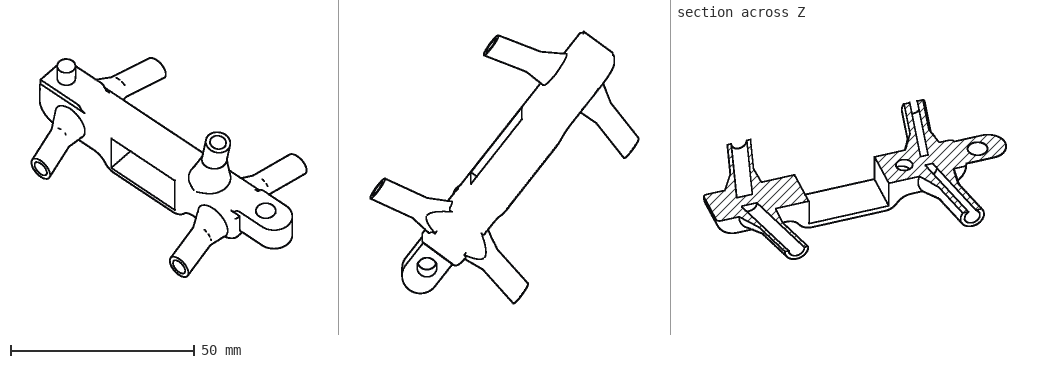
import cadquery as cq
import math

beam_length = 72.2
beam_width = 12.0
beam_top = 16.0
shoulder_z = 4.0
end_corner_radius = 6.0
belly_center_x = 38.0
belly_bottom_length = 21.0
belly_top_length = 36.0
edge_radius = 1.0

window_length = 23.0
window_bottom = 2.1
window_top = 14.4

pad_width = beam_width - 2 * edge_radius
pad_top = 17.8
pad_flat_end_x = 13.1
pad_slope_length = 3.0
tab_bottom = shoulder_z + end_corner_radius
tab_slope_length = 3.2
tab_tip_x = 85.2
tab_hole_x = 77.2
tab_hole_diameter = 5.4
pin_x = 5.0
pin_diameter = 5.0
pin_top = 23.0

tube_diameter = 6.8
bore_diameter = 4.4

side_root_diameter = 11.3
side_root_y = beam_width / 2 - edge_radius
side_neck_y = 12.0
side_bore_end_y = 2.0

left_root_x = 11.35
left_neck_x = 13.4
left_tip_x = 16.7
left_tip_y = 24.0
left_axis_z = tab_bottom

right_root_x = 63.1
right_neck_x = 64.6
right_tip_x = 67.2
right_tip_y = 24.48
right_axis_z = 8.1

upper_root_diameter = 11.9
upper_root_x = 56.7
upper_root_z = 15.2
upper_neck_x = 58.55
upper_neck_z = 25.0
upper_tip_corner_z = 33.71
upper_tilt = math.radians(9.5)
upper_bore_end_z = 8.0


def arc_midpoint(start, end):
    """Midpoint of the arc from start that arrives level (along X) at end."""
    dx = end[0] - start[0]
    dz = end[1] - start[1]
    radius = (dx**2 + dz**2) / (2 * abs(dz))
    center_z = end[1] - math.copysign(radius, dz)
    half_angle = math.asin(abs(dx) / radius) / 2
    return (
        end[0] - math.copysign(radius * math.sin(half_angle), dx),
        center_z + math.copysign(radius * math.cos(half_angle), dz),
    )


def s_curve(profile, start, end):
    """Extend a profile that arrives level at start by two equal arcs that end level at end."""
    dx = end[0] - start[0]
    dz = end[1] - start[1]
    middle = (start[0] + dx / 2, start[1] + dz / 2)
    return profile.tangentArcPoint(middle, relative=False).threePointArc(
        arc_midpoint(middle, end), end
    )


def extrude_across(profile, width):
    """Extrude an XZ profile symmetrically about y = 0."""
    return profile.extrude(width / 2, both=True)


def make_beam():
    belly_left = belly_center_x - belly_bottom_length / 2
    belly_right = belly_center_x + belly_bottom_length / 2
    shoulder_left = belly_center_x - belly_top_length / 2
    shoulder_right = belly_center_x + belly_top_length / 2
    corner_z = shoulder_z + end_corner_radius

    profile = cq.Workplane("XZ").moveTo(0, beam_top).lineTo(0, corner_z)
    profile = profile.tangentArcPoint((end_corner_radius, shoulder_z), relative=False)
    profile = profile.lineTo(shoulder_left, shoulder_z)
    profile = s_curve(profile, (shoulder_left, shoulder_z), (belly_left, 0))
    profile = profile.lineTo(belly_right, 0)
    profile = s_curve(profile, (belly_right, 0), (shoulder_right, shoulder_z))
    profile = profile.lineTo(beam_length - end_corner_radius, shoulder_z)
    profile = profile.tangentArcPoint((beam_length, corner_z), relative=False)
    profile = profile.lineTo(beam_length, beam_top).close()
    beam = extrude_across(profile, beam_width)
    return beam.faces("<Y or >Y").edges().fillet(edge_radius)


def make_window():
    window_height = window_top - window_bottom
    window_center = (belly_center_x, 0, window_bottom + window_height / 2)
    return cq.Workplane("XY").box(window_length, beam_width, window_height).translate(window_center)


def make_pad():
    slope_start = (pad_flat_end_x, pad_top)
    slope_end = (pad_flat_end_x + pad_slope_length, beam_top)
    profile = cq.Workplane("XZ").moveTo(0, tab_bottom).lineTo(0, pad_top).lineTo(*slope_start)
    profile = s_curve(profile, slope_start, slope_end)
    profile = profile.lineTo(slope_end[0], tab_bottom).close()
    return extrude_across(profile, pad_width)


def make_pin():
    pin = cq.Workplane("XY").workplane(offset=beam_top).center(pin_x, 0)
    return pin.circle(pin_diameter / 2).extrude(pin_top - beam_top)


def make_tab():
    slope_start = (beam_length - tab_slope_length, beam_top)
    slope_end = (beam_length, pad_top)
    inner_x = slope_start[0] - edge_radius
    profile = cq.Workplane("XZ").moveTo(inner_x, tab_bottom).lineTo(inner_x, beam_top)
    profile = profile.lineTo(*slope_start)
    profile = s_curve(profile, slope_start, slope_end)
    profile = profile.lineTo(tab_tip_x, pad_top).lineTo(tab_tip_x, tab_bottom).close()
    tab = extrude_across(profile, pad_width)

    tip_center_x = tab_tip_x - pad_width / 2
    rounded_plan = (
        cq.Workplane("XY").moveTo(inner_x, -pad_width / 2).lineTo(tip_center_x, -pad_width / 2)
        .threePointArc((tab_tip_x, 0), (tip_center_x, pad_width / 2))
        .lineTo(inner_x, pad_width / 2).close().extrude(pad_top)
    )
    hole = cq.Workplane("XY").center(tab_hole_x, 0).circle(tab_hole_diameter / 2).extrude(pad_top)
    return tab.intersect(rounded_plan).cut(hole)


def loft_circles(start, start_diameter, end, end_diameter, normal):
    """Ruled loft between two circles that share the same normal."""
    wires = [
        cq.Wire.makeCircle(start_diameter / 2, cq.Vector(*start), cq.Vector(*normal)),
        cq.Wire.makeCircle(end_diameter / 2, cq.Vector(*end), cq.Vector(*normal)),
    ]
    return cq.Workplane(cq.Solid.makeLoft(wires, True))


def trim_below_shoulder(cone):
    """Cut the cone off flush with the underside of the beam."""
    trim = cq.Workplane("XY").box(beam_length, 2 * side_neck_y, shoulder_z, centered=(False, True, False))
    return cone.cut(trim)


def make_side_arm(root_x, neck_x, tip_x, tip_y, axis_z):
    """Return (arm, bore) on the +Y side."""
    normal = (0, 1, 0)
    root = (root_x, side_root_y, axis_z)
    neck = (neck_x, side_neck_y, axis_z)
    tip = (tip_x, tip_y, axis_z)
    cone = loft_circles(root, side_root_diameter, neck, tube_diameter, normal)
    tube = loft_circles(neck, tube_diameter, tip, tube_diameter, normal)

    slope = (tip_x - neck_x) / (tip_y - side_neck_y)
    bore_end = (tip_x - slope * (tip_y - side_bore_end_y), side_bore_end_y, axis_z)
    bore = loft_circles(bore_end, bore_diameter, tip, bore_diameter, normal)
    return trim_below_shoulder(cone).union(tube), bore


def make_upper_arm():
    """Return (arm, bore)."""
    root = (upper_root_x, 0, upper_root_z)
    neck = (upper_neck_x, 0, upper_neck_z)
    cone = loft_circles(root, upper_root_diameter, neck, tube_diameter, (0, 0, 1))

    axis = cq.Vector(math.sin(upper_tilt), 0, math.cos(upper_tilt))
    tip_z = upper_tip_corner_z - tube_diameter / 2 * math.sin(upper_tilt)
    tip = cq.Vector(upper_neck_x + (tip_z - upper_neck_z) * math.tan(upper_tilt), 0, tip_z)
    core_length = (tip_z - upper_bore_end_z) / math.cos(upper_tilt)
    tube = cq.Workplane(cq.Solid.makeCylinder(tube_diameter / 2, core_length, tip, axis * -1))
    below_neck = (
        cq.Workplane("XY").center(upper_neck_x, 0)
        .circle(beam_width).extrude(upper_neck_z)
    )
    bore = cq.Workplane(cq.Solid.makeCylinder(bore_diameter / 2, core_length, tip, axis * -1))
    return cone.union(tube.cut(below_neck)), bore


def make_arms():
    """Return (arms, bores) for all five arms."""
    left_arm = make_side_arm(left_root_x, left_neck_x, left_tip_x, left_tip_y, left_axis_z)
    right_arm = make_side_arm(right_root_x, right_neck_x, right_tip_x, right_tip_y, right_axis_z)
    arms, bores = make_upper_arm()
    for arm, bore in (left_arm, right_arm):
        arms = arms.union(arm).union(arm.mirror("XZ"))
        bores = bores.union(bore).union(bore.mirror("XZ"))
    return arms, bores


arms, bores = make_arms()
result = make_beam().union(make_pad()).union(make_pin()).union(make_tab())
result = result.cut(make_window()).union(arms).cut(bores)